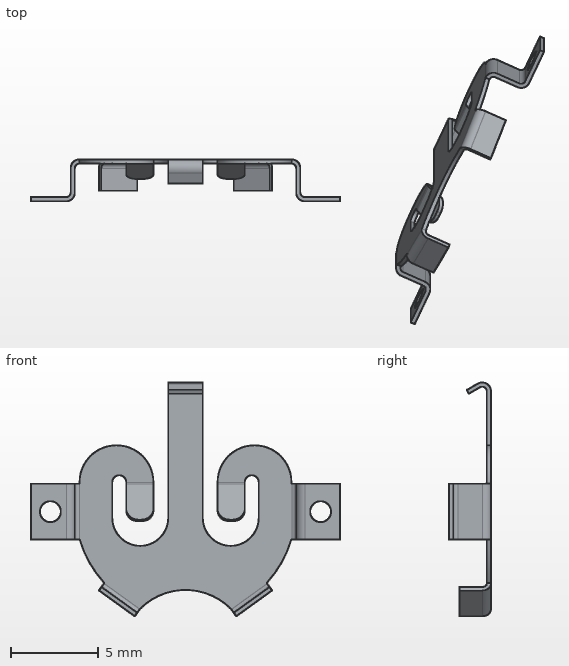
import cadquery as cq
import math


thickness = 0.254
inner_radius = 0.254
outer_radius = inner_radius + thickness

overall_width = 17.78
overall_depth = 2.42
foot_height = 3.21
hole_diameter = 1.19
hole_x = 7.763
riser_x = 6.35
plate_half_width = riser_x - inner_radius

tongue_half_width = 1.0
tongue_top = 7.43
hook_angle = 120
hook_length = 0.74

slot_radius = 1.6
slot_center_z = -0.36
slot_outer_x = tongue_half_width + 2 * slot_radius
arm_center_z = 1.69
arm_radius = 2.13
arm_inner_x = plate_half_width - 2 * arm_radius
notch_radius = 0.395

finger_outer_x = slot_outer_x - 2 * notch_radius
finger_width = finger_outer_x - arm_inner_x
finger_angle = 23
finger_length = 2.22
finger_corner_radius = 0.68

rim_center_z = 0.2
rim_radius = 6.35
stop_angle = 35.8
stop_width = 2.54
stop_distance = 6.75
stop_depth = 1.82
stop_bend_distance = stop_distance - outer_radius

arch_top_z = -4.506


def bent_strip(origin, direction, steps, width):
    """Strip of sheet that leaves the plate edge at origin along direction.

    Each step is ("flat", length) or ("bend", degrees); positive bends turn
    toward -Y and negative bends turn back.
    """
    along = cq.Vector(*direction)
    forward = cq.Vector(0, -1, 0)
    plane = cq.Plane(origin=origin, xDir=direction, normal=along.cross(forward).toTuple())

    def at(point, heading, distance):
        return (point[0] + distance * math.cos(heading), point[1] + distance * math.sin(heading))

    back = (0.0, 0.0)
    heading = 0.0
    left_turn = math.pi / 2
    strip = None
    for kind, amount in steps:
        front = at(back, heading + left_turn, thickness)
        if kind == "flat":
            back_end = at(back, heading, amount)
            front_end = at(front, heading, amount)
            outline = cq.Workplane(plane).polyline([back, back_end, front_end, front])
        else:
            turn = math.radians(amount)
            side = math.copysign(left_turn, turn)
            back_radius = outer_radius if turn > 0 else inner_radius
            front_radius = inner_radius if turn > 0 else outer_radius
            center = at(back, heading + side, back_radius)
            middle = heading + turn / 2 - side
            end = heading + turn - side
            back_end = at(center, end, back_radius)
            front_end = at(center, end, front_radius)
            outline = (
                cq.Workplane(plane)
                .moveTo(*back)
                .threePointArc(at(center, middle, back_radius), back_end)
                .lineTo(*front_end)
                .threePointArc(at(center, middle, front_radius), front)
            )
            heading += turn
        piece = outline.close().extrude(width / 2, both=True)
        strip = piece if strip is None else strip.union(piece)
        back = back_end
    return strip.clean()


def make_half_plate():
    """Flat plate for x >= 0, up to the start of every bend."""
    tilt = math.radians(stop_angle)
    stop_x = stop_bend_distance * math.sin(tilt)
    stop_z = rim_center_z - stop_bend_distance * math.cos(tilt)
    half_run_x = stop_width / 2 * math.cos(tilt)
    half_run_z = stop_width / 2 * math.sin(tilt)
    stop_top = (stop_x + half_run_x, stop_z + half_run_z)
    stop_bottom = (stop_x - half_run_x, stop_z - half_run_z)

    def rim_point(x):
        return (x, rim_center_z - math.sqrt(rim_radius**2 - x**2))

    arch_rise = arch_top_z - stop_bottom[1]
    arch_radius = (stop_bottom[0] ** 2 + arch_rise**2) / (2 * arch_rise)
    arch_middle_x = stop_bottom[0] / 2
    arch_drop = arch_radius - math.sqrt(arch_radius**2 - arch_middle_x**2)
    arch_middle = (arch_middle_x, arch_top_z - arch_drop)

    outline = (
        cq.Workplane("XZ")
        .moveTo(0, tongue_top - outer_radius)
        .lineTo(tongue_half_width, tongue_top - outer_radius)
        .lineTo(tongue_half_width, slot_center_z)
        .threePointArc(
            (tongue_half_width + slot_radius, slot_center_z - slot_radius),
            (slot_outer_x, slot_center_z),
        )
        .lineTo(slot_outer_x, arm_center_z)
        .threePointArc(
            (slot_outer_x - notch_radius, arm_center_z + notch_radius),
            (finger_outer_x, arm_center_z),
        )
        .lineTo(arm_inner_x, arm_center_z)
        .threePointArc(
            (arm_inner_x + arm_radius, arm_center_z + arm_radius),
            (plate_half_width, arm_center_z),
        )
        .lineTo(*rim_point(plate_half_width))
        .threePointArc(rim_point((plate_half_width + stop_top[0]) / 2), rim_point(stop_top[0]))
        .lineTo(*stop_top)
        .lineTo(*stop_bottom)
        .threePointArc(arch_middle, (0, arch_top_z))
        .close()
    )
    return outline.extrude(thickness)


def make_foot():
    """Z-bent mounting foot with its hole."""
    riser_length = overall_depth - 2 * outer_radius
    foot_length = overall_width / 2 - riser_x - outer_radius
    steps = [("bend", 90), ("flat", riser_length), ("bend", -90), ("flat", foot_length)]
    foot = bent_strip((plate_half_width, 0, 0), (1, 0, 0), steps, foot_height)
    hole = cq.Workplane("XZ").center(hole_x, 0).circle(hole_diameter / 2).extrude(overall_depth)
    return foot.cut(hole)


def make_finger():
    """Round-cornered finger sloping down and forward from the arm end."""
    origin = (arm_inner_x + finger_width / 2, 0, arm_center_z)
    steps = [("bend", finger_angle), ("flat", finger_length)]
    finger = bent_strip(origin, (0, 0, -1), steps, finger_width)
    tilt = math.radians(finger_angle)
    across_thickness = cq.Vector(0, -math.cos(tilt), math.sin(tilt))
    tip_corners = cq.selectors.ParallelDirSelector(across_thickness)
    return finger.edges(tip_corners).fillet(finger_corner_radius)


def make_stop():
    """Stop tab bent square to the plate at the lower rim."""
    tilt = math.radians(stop_angle)
    direction = (math.sin(tilt), 0, -math.cos(tilt))
    origin = (
        stop_bend_distance * direction[0],
        0,
        rim_center_z + stop_bend_distance * direction[2],
    )
    steps = [("bend", 90), ("flat", stop_depth - outer_radius)]
    return bent_strip(origin, direction, steps, stop_width)


def make_tongue_hook():
    """Hook folded forward and down at the top of the tongue."""
    origin = (0, 0, tongue_top - outer_radius)
    steps = [("bend", hook_angle), ("flat", hook_length)]
    return bent_strip(origin, (0, 0, 1), steps, 2 * tongue_half_width)


half = make_half_plate().union(make_foot()).union(make_finger()).union(make_stop())
result = half.union(half.mirror("YZ")).union(make_tongue_hook())